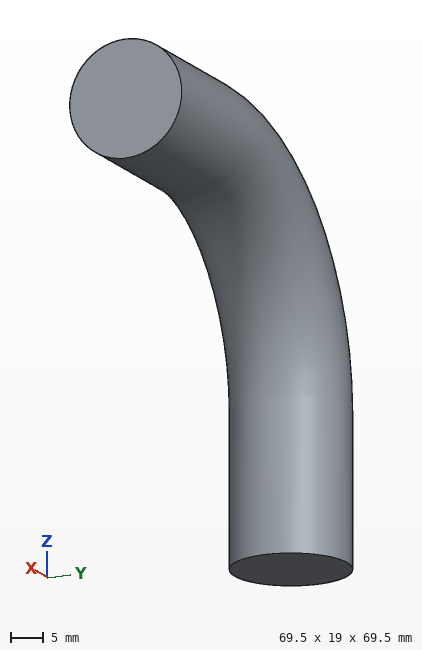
import cadquery as cq

OUTER_DIAMETER = 19.0
BEND_RADIUS = 35.0
STRAIGHT_LENGTH = 25.0
QUARTER_TURN = 90.0


def elbow(diameter):
    """Round bar: a straight leg up Z, a quarter bend, then a straight leg along +X."""
    radius = diameter / 2
    lower_leg = cq.Workplane("XY").circle(radius).extrude(STRAIGHT_LENGTH)
    bend = (
        cq.Workplane("XY")
        .workplane(offset=STRAIGHT_LENGTH)
        .circle(radius)
        .revolve(QUARTER_TURN, (BEND_RADIUS, 0), (BEND_RADIUS, 1))
    )
    upper_leg = (
        cq.Workplane("YZ", origin=(BEND_RADIUS, 0, STRAIGHT_LENGTH + BEND_RADIUS))
        .circle(radius)
        .extrude(STRAIGHT_LENGTH)
    )
    return lower_leg.union(bend).union(upper_leg)


result = elbow(OUTER_DIAMETER)